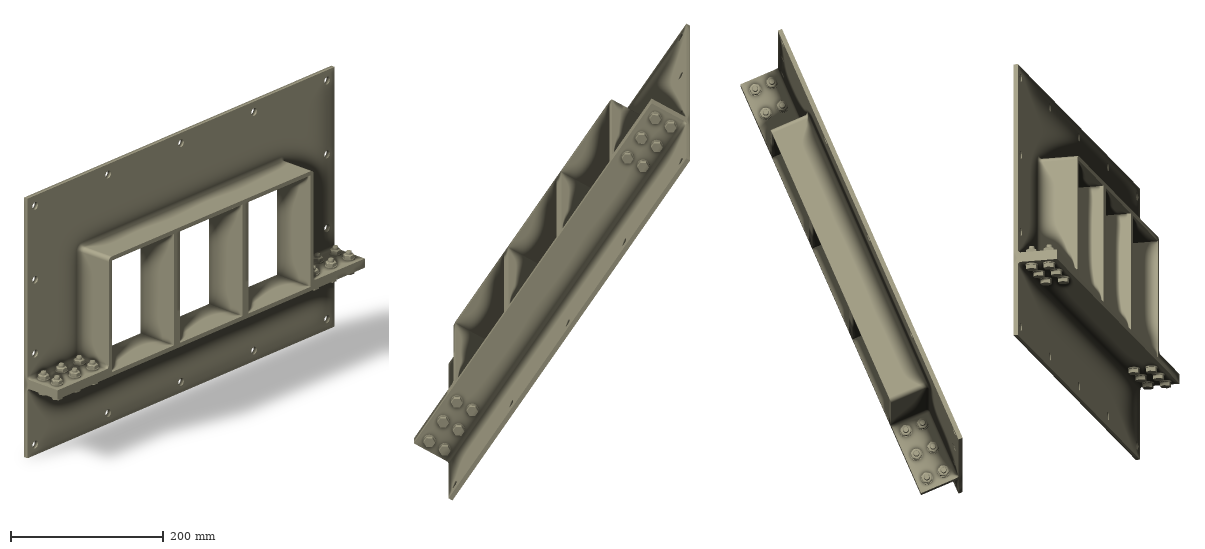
import cadquery as cq
import math

panel_length = 597.5
panel_height = 371.5
plate = 6.0
depth = 60.0
lower_panel_height = 106.0
frame_top = 271.0
frame_width = 398.5
floor_top = lower_panel_height
frame_height = frame_top - floor_top
weld_radius = 4.0
frame_corner_radius = 6.0
foot_thickness = 7.0
foot_top = floor_top + foot_thickness
foot_radius = 4.0

window_count = 3
mullion = 2 * plate
window_width = (frame_width - 2 * plate - (window_count - 1) * mullion) / window_count
window_pitch = window_width + mullion
window_height = frame_height - plate

hole_diameter = 11.0
hole_edge = 15.0
hole_columns = 5
hole_column_pitch = (panel_length - 2 * hole_edge) / (hole_columns - 1)
side_hole_pitch = 106.0
side_hole_rows = 2

bolt_x = (21.0, 45.0)
bolt_edge = 15.0
bolt_pitch = 34.5
bolts_per_row = 3

bolt_diameter = 8.0
bolt_tip_diameter = 6.5
bolt_tip_length = 2.0
washer_diameter = 16.0
washer_thickness = 2.0
hex_flats = 13.0
nut_face_diameter = 11.5
nut_chamfer_angle = 30.0
head_height = 5.5
nut_height = 5.5
bolt_projection = 4.0


def block(x0, x1, y0, y1, z0, z1):
    """Box between two opposite corners."""
    return cq.Workplane("XY").box(x1 - x0, y1 - y0, z1 - z0, centered=False).translate((x0, y0, z0))


def disc(diameter, height, base):
    """Upright cylinder standing on the height base."""
    return cq.Workplane("XY").workplane(offset=base).circle(diameter / 2).extrude(height)


def hexagon(height, base):
    """Hexagonal prism with two corners on the Y axis."""
    corner_diameter = hex_flats / math.cos(math.pi / 6)
    prism = cq.Workplane("XY").workplane(offset=base).polygon(6, corner_diameter).extrude(height)
    return prism.rotate((0, 0, 0), (0, 0, 1), 30)


def make_nut(base):
    """Hex nut with its top corners chamfered down to a circular face."""
    top = base + nut_height
    slope = math.tan(math.radians(nut_chamfer_angle))
    face_radius = nut_face_diameter / 2
    cone_base_radius = face_radius + nut_height / slope
    cone = (
        cq.Workplane("XZ")
        .polyline([(0, base), (cone_base_radius, base), (face_radius, top), (0, top)])
        .close()
        .revolve(360, (0, 0, 0), (0, 1, 0))
    )
    return hexagon(nut_height, base).intersect(cone)


def make_body():
    """Panel, frame, bottom flange and feet as one welded body."""
    half_length = panel_length / 2
    half_width = frame_width / 2
    margin = 0.5
    panel = block(0, plate, -half_length, half_length, 0, panel_height)
    flange = block(0, depth, -half_length, half_length, floor_top - plate, foot_top)
    frame = block(0, depth, -half_width, half_width, floor_top, frame_top)
    frame = frame.edges("|X and >Z").fillet(frame_corner_radius)
    solid = panel.union(flange).union(frame).clean()

    foot_corners = cq.selectors.BoxSelector(
        (plate, -half_width - margin, foot_top - margin),
        (depth, half_width + margin, foot_top + margin),
    )
    solid = solid.edges(foot_corners).edges("|X").fillet(foot_radius)
    roots = cq.selectors.BoxSelector(
        (plate - margin, -half_length + margin, floor_top - plate - margin),
        (plate + margin, half_length - margin, frame_top + margin),
    )
    return solid.edges(roots).fillet(weld_radius)


def cut_windows(solid):
    """Window openings through the full depth, separated by the mullions."""
    for index in range(window_count):
        centre = (index - (window_count - 1) / 2) * window_pitch
        window = block(
            0, depth,
            centre - window_width / 2, centre + window_width / 2,
            floor_top, floor_top + window_height,
        )
        solid = solid.cut(window)
    return solid


def cut_mounting_holes(solid):
    """Holes along the top and bottom edges and down both ends of the panel."""
    top_row = panel_height - hole_edge
    points = []
    for column in range(hole_columns):
        y = (column - (hole_columns - 1) / 2) * hole_column_pitch
        points += [(y, hole_edge), (y, top_row)]
    for row in range(1, side_hole_rows + 1):
        for side in (-1, 1):
            points.append((side * (panel_length / 2 - hole_edge), top_row - row * side_hole_pitch))
    holes = cq.Workplane("YZ").pushPoints(points).circle(hole_diameter / 2).extrude(plate)
    return solid.cut(holes)


def make_bolt():
    """Bolt through the foot and flange, head below and nut above, on the Z axis."""
    flange_bottom = floor_top - plate
    nut_base = foot_top + washer_thickness
    head_bottom = flange_bottom - washer_thickness - head_height
    tip = nut_base + nut_height + bolt_projection
    shank = disc(bolt_diameter, tip - bolt_tip_length - head_bottom, head_bottom)
    chamfered_tip = cq.Solid.makeCone(
        bolt_diameter / 2, bolt_tip_diameter / 2, bolt_tip_length,
        cq.Vector(0, 0, tip - bolt_tip_length), cq.Vector(0, 0, 1),
    )
    shank = shank.union(cq.Workplane(chamfered_tip))
    bolt = shank.union(hexagon(head_height, head_bottom))
    bolt = bolt.union(make_nut(nut_base))
    bolt = bolt.union(disc(washer_diameter, washer_thickness, foot_top))
    return bolt.union(disc(washer_diameter, washer_thickness, flange_bottom - washer_thickness))


def add_bolts(solid):
    """Two columns of bolts in each foot, set out from the panel ends."""
    bolt = make_bolt()
    for side in (-1, 1):
        for row in range(bolts_per_row):
            y = side * (panel_length / 2 - bolt_edge - row * bolt_pitch)
            for x in bolt_x:
                solid = solid.union(bolt.translate((x, y, 0)))
    return solid


result = add_bolts(cut_mounting_holes(cut_windows(make_body())))